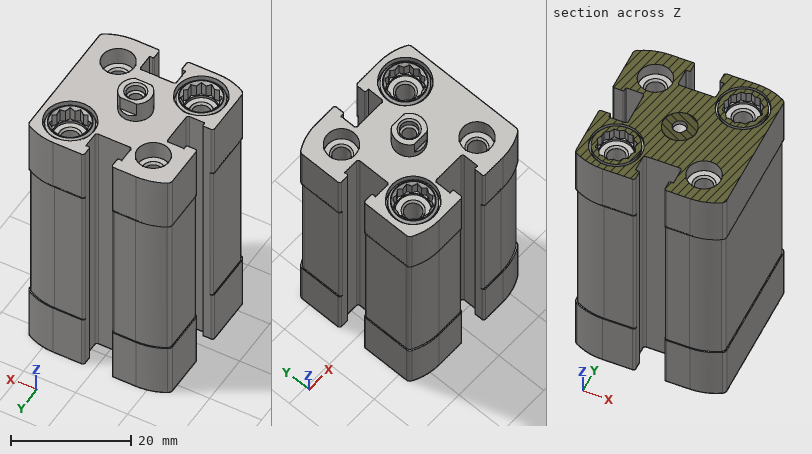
import cadquery as cq
import math

total_height = 54.2
rod_protrusion = 4.1
housing_height = total_height - rod_protrusion
cap_width = 27.5
cap_height = 10.5
barrel_inset = 0.2
barrel_width = cap_width - 2 * barrel_inset

bow_radius = 10.85
bow_run = 5.75
corner_radius = 0.9

slot_offset = 0.6
neck_width = 5.3
neck_depth = 2.1
slot_width = 6.9
slot_floor = 8.3
slot_radius = 0.45
mouth_radius = 0.45
lip_radius = 0.2

hole_pitch = 16.0
through_diameter = 3.25
lead_in_diameter = 4.0
recess_diameter = 6.0
recess_depth = 3.5

clearance_diameter = 9.2
head_diameter = 8.5
head_gap_depth = 1.6
head_chamfer = 0.45
rim_depth = 0.15
socket_mouth = 7.35
socket_diameter = 6.95
socket_points = 12
socket_depth = 3.05

rod_diameter = 6.0
rod_insertion = 7.6
rod_length = rod_protrusion + rod_insertion
flat_width = 5.1
flat_length = 2.65
flat_run_out = 0.25
mouth_diameter = 4.0
counterbore_diameter = 3.3
counterbore_depth = 1.5
thread_diameter = 2.45
thread_depth = 6.0
drill_point_angle = 118.0


def section_block(width, bottom, height):
    """Prism with flat sides and bowed shoulders running into the +Y and -Y faces."""
    half = width / 2
    bow_start = half - bow_run
    bow_end = half - bow_radius + math.sqrt(bow_radius**2 - bow_run**2)
    block = (
        cq.Workplane("XY")
        .workplane(offset=bottom)
        .moveTo(-bow_start, half)
        .lineTo(bow_start, half)
        .radiusArc((half, bow_end), bow_radius)
        .lineTo(half, -bow_end)
        .radiusArc((bow_start, -half), bow_radius)
        .lineTo(-bow_start, -half)
        .radiusArc((-half, -bow_end), bow_radius)
        .lineTo(-half, bow_end)
        .radiusArc((-bow_start, half), bow_radius)
        .close()
        .extrude(height)
    )
    side_corners = block.faces("<X or >X").edges("|Z")
    return side_corners.fillet(corner_radius)


def slot_cutter(width, bottom, height):
    """T-slot opening towards +Y, with a rounded mouth and a filleted floor."""
    face = width / 2
    lip = cap_width / 2 - neck_depth
    neck = neck_width / 2
    floor_edge = slot_width / 2
    half_profile = (
        cq.Workplane("XY")
        .moveTo(0, face)
        .lineTo(neck + mouth_radius, face)
        .radiusArc((neck, face - mouth_radius), -mouth_radius)
        .lineTo(neck, lip + lip_radius)
        .radiusArc((neck + lip_radius, lip), -lip_radius)
        .lineTo(floor_edge, lip)
        .lineTo(floor_edge, slot_floor + slot_radius)
        .radiusArc((floor_edge - slot_radius, slot_floor), slot_radius)
        .lineTo(0, slot_floor)
    )
    return half_profile.mirrorY().extrude(height).translate((0, 0, bottom))


def slotted_block(width, bottom, height):
    """One stretch of the housing with slots in the +Y, -Y and -X faces."""
    block = section_block(width, bottom, height)
    cutter = slot_cutter(width, bottom, height)
    for turn, shift in (
        (0, (-slot_offset, 0, 0)),
        (90, (0, slot_offset, 0)),
        (180, (slot_offset, 0, 0)),
    ):
        block = block.cut(cutter.rotate((0, 0, 0), (0, 0, 1), turn).translate(shift))
    return block


def fixing_hole():
    """Through hole with a conical lead-in at the floor of a round recess."""
    floor = housing_height - recess_depth
    lead_in = (lead_in_diameter - through_diameter) / 2
    return (
        cq.Workplane("XZ")
        .moveTo(0, 0)
        .lineTo(through_diameter / 2, 0)
        .lineTo(through_diameter / 2, floor - lead_in)
        .lineTo(lead_in_diameter / 2, floor)
        .lineTo(recess_diameter / 2, floor)
        .lineTo(recess_diameter / 2, housing_height)
        .lineTo(0, housing_height)
        .close()
        .revolve(360, (0, 0, 0), (0, 1, 0))
    )


def screw_head_cutter():
    """Gap around the chamfered screw head and the cone leading into its socket."""
    head = head_diameter / 2
    mouth = socket_mouth / 2
    rim_level = housing_height - rim_depth
    gap_floor = housing_height - head_gap_depth
    return (
        cq.Workplane("XZ")
        .moveTo(0, housing_height)
        .lineTo(clearance_diameter / 2, housing_height)
        .lineTo(clearance_diameter / 2, gap_floor)
        .lineTo(head, gap_floor)
        .lineTo(head, rim_level - head_chamfer)
        .lineTo(head - head_chamfer, rim_level)
        .lineTo(mouth, rim_level)
        .lineTo(0, rim_level - mouth)
        .close()
        .revolve(360, (0, 0, 0), (0, 1, 0))
    )


def socket_cutter():
    """Twelve-point socket: two hexagons turned by half a hexagon step."""
    step = 360 / socket_points
    hexagon = (
        cq.Workplane("XY")
        .workplane(offset=housing_height - socket_depth)
        .polygon(socket_points // 2, socket_diameter)
        .extrude(socket_depth - rim_depth)
    )
    return hexagon.union(hexagon.rotate((0, 0, 0), (0, 0, 1), step))


def make_housing():
    barrel_height = housing_height - 2 * cap_height
    housing = slotted_block(cap_width, 0, cap_height)
    housing = housing.union(slotted_block(barrel_width, cap_height, barrel_height))
    housing = housing.union(slotted_block(cap_width, housing_height - cap_height, cap_height))

    for side_x in (-1, 1):
        for side_y in (-1, 1):
            place = (side_x * hole_pitch / 2, side_y * hole_pitch / 2, 0)
            housing = housing.cut(fixing_hole().translate(place))
            if side_x == side_y:
                housing = housing.cut(screw_head_cutter().translate(place))
                housing = housing.cut(socket_cutter().translate(place))

    rod_seat = (
        cq.Workplane("XY")
        .workplane(offset=housing_height - rod_insertion)
        .circle(rod_diameter / 2)
        .extrude(rod_insertion)
    )
    return housing.cut(rod_seat)


def rod_bore():
    """Threaded hole in the rod end: chamfer, counterbore, core hole and drill point."""
    mouth_chamfer = (mouth_diameter - counterbore_diameter) / 2
    point_slope = 1 / math.tan(math.radians(drill_point_angle / 2))
    step_length = (counterbore_diameter - thread_diameter) / 2 * point_slope
    point_length = thread_diameter / 2 * point_slope
    return (
        cq.Workplane("XZ")
        .moveTo(0, total_height)
        .lineTo(mouth_diameter / 2, total_height)
        .lineTo(counterbore_diameter / 2, total_height - mouth_chamfer)
        .lineTo(counterbore_diameter / 2, total_height - counterbore_depth)
        .lineTo(thread_diameter / 2, total_height - counterbore_depth - step_length)
        .lineTo(thread_diameter / 2, total_height - thread_depth)
        .lineTo(0, total_height - thread_depth - point_length)
        .close()
        .revolve(360, (0, 0, 0), (0, 1, 0))
    )


def wrench_flat():
    """Cutter for the wrench flat on the +Y side, with an outward sloping shoulder."""
    shoulder = total_height - flat_length
    return (
        cq.Workplane("YZ")
        .moveTo(flat_width / 2, total_height)
        .lineTo(flat_width / 2, shoulder)
        .lineTo(rod_diameter / 2, shoulder - flat_run_out)
        .lineTo(rod_diameter / 2, total_height)
        .close()
        .extrude(rod_diameter / 2, both=True)
    )


def make_rod():
    rod = (
        cq.Workplane("XY")
        .workplane(offset=total_height - rod_length)
        .circle(rod_diameter / 2)
        .extrude(rod_length)
    )
    flat = wrench_flat()
    return rod.cut(flat).cut(flat.mirror("XZ")).cut(rod_bore())


housing = make_housing()
rod = make_rod()
result = cq.Compound.makeCompound([housing.val(), rod.val()])